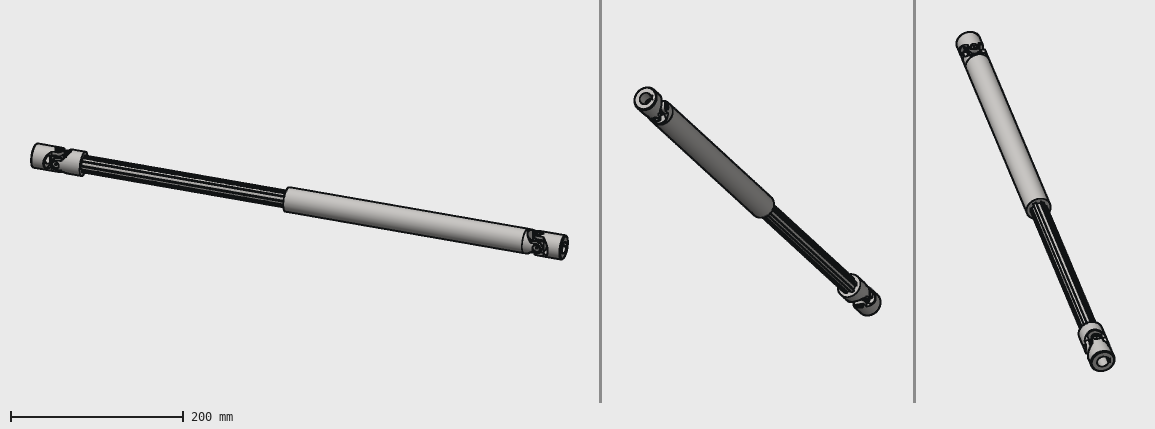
import cadquery as cq
import math


total_length = 650.0
joint_reach = 30.0
left_joint_x = joint_reach
right_joint_x = total_length - joint_reach

yoke_diameter = 28.8
yoke_radius = yoke_diameter / 2
rim_chamfer = 1.2
arm_width = 12.5
shoulder_offset = 14.8
slot_width = 16.4
slot_diameter = 28.0
cut_reach = yoke_radius + 1.0

bore_diameter = 14.0
bore_length = 20.0
key_width = 5.0
key_depth = 1.8

pin_diameter = 9.0
pin_span = 24.0
block_size = 14.0
centre_hole_diameter = 1.8
centre_hole_depth = 2.0

spline_start = left_joint_x + joint_reach
spline_end = 339.0
spline_tip_diameter = 20.0
spline_root_diameter = 16.0
tooth_width = 4.0
tooth_count = 6
tip_chamfer = 0.25

tube_diameter = 29.0
tube_start = 310.0
tube_end = 603.0


def x_rod(diameter, start, end):
    return cq.Workplane("YZ", origin=(start, 0, 0)).circle(diameter / 2).extrude(end - start)


def turn_quarter(body):
    return body.rotate((0, 0, 0), (1, 0, 0), 90)


def face_left(body):
    return body.rotate((0, 0, 0), (0, 0, 1), 180)


def at_x(body, x):
    return body.translate((x, 0, 0))


def arm_outline():
    """Plan of a yoke: full-width hub, 45 degree shoulders, then a narrow arm with a round tip."""
    half_arm = arm_width / 2
    shoulder_outer_x = -shoulder_offset - (cut_reach - yoke_radius)
    shoulder_inner_x = -shoulder_offset + (yoke_radius - half_arm)
    return (
        cq.Workplane("XY", origin=(0, 0, -cut_reach))
        .moveTo(-joint_reach, -cut_reach)
        .lineTo(shoulder_outer_x, -cut_reach)
        .lineTo(shoulder_inner_x, -half_arm)
        .lineTo(0, -half_arm)
        .threePointArc((half_arm, 0), (0, half_arm))
        .lineTo(shoulder_inner_x, half_arm)
        .lineTo(shoulder_outer_x, cut_reach)
        .lineTo(-joint_reach, cut_reach)
        .close()
        .extrude(2 * cut_reach)
    )


def make_yoke():
    """Yoke with its joint centre at the origin, hub toward -X and arms above and below."""
    blank = x_rod(yoke_diameter, -joint_reach, arm_width / 2)
    slot_round = cq.Workplane("XZ").circle(slot_diameter / 2).extrude(cut_reach, both=True)
    slot = slot_round.intersect(cq.Workplane("XY").box(slot_diameter, 2 * cut_reach, slot_width))
    pin_hole = cq.Workplane("XY").circle(pin_diameter / 2).extrude(cut_reach, both=True)
    return blank.intersect(arm_outline()).cut(slot).cut(pin_hole)


def make_end_yoke():
    """Yoke with a chamfered rim and a keyed hub bore; the keyway is on the -Y side."""
    bore = x_rod(bore_diameter, -joint_reach, -joint_reach + bore_length)
    key_reach = bore_diameter / 2 + key_depth
    keyway = (
        cq.Workplane("XY")
        .box(bore_length, key_reach, key_width, centered=(False, False, True))
        .translate((-joint_reach, -key_reach, 0))
    )
    return make_yoke().faces("<X").edges().chamfer(rim_chamfer).cut(bore).cut(keyway)


def make_cross():
    """Cube with pins along Y and Z, each pin end drilled with a small centre hole."""
    cross = cq.Workplane("XY").box(block_size, block_size, block_size)
    for plane in ("XY", "XZ"):
        cross = cross.union(cq.Workplane(plane).circle(pin_diameter / 2).extrude(pin_span / 2, both=True))
    for pin_end in (">Y", "<Y", ">Z", "<Z"):
        cross = cross.faces(pin_end).workplane(centerOption="CenterOfMass")
        cross = cross.hole(centre_hole_diameter, centre_hole_depth)
    return cross


def make_tooth(start, end):
    """Parallel-sided spline tooth toward +Y, with chamfered tip corners."""
    half_width = tooth_width / 2
    half_land = half_width - tip_chamfer
    tip_radius = spline_tip_diameter / 2
    land_edge = math.sqrt(tip_radius**2 - half_land**2)
    flank_end = land_edge - tip_chamfer
    return (
        cq.Workplane("YZ", origin=(start, 0, 0))
        .moveTo(0, -half_width)
        .lineTo(flank_end, -half_width)
        .lineTo(land_edge, -half_land)
        .threePointArc((tip_radius, 0), (land_edge, half_land))
        .lineTo(flank_end, half_width)
        .lineTo(0, half_width)
        .close()
        .extrude(end - start)
    )


def make_spline(start, end):
    spline = x_rod(spline_root_diameter, start, end)
    for i in range(tooth_count):
        angle = i * 360 / tooth_count
        spline = spline.union(make_tooth(start, end).rotate((0, 0, 0), (1, 0, 0), angle))
    return spline


def make_shaft():
    """Splined bar with the inner yoke of the left joint."""
    yoke = at_x(turn_quarter(face_left(make_yoke())), left_joint_x)
    return yoke.union(make_spline(spline_start, spline_end))


def make_tube():
    """Tube with the inner yoke of the right joint and a splined bore that holds the shaft."""
    yoke = at_x(turn_quarter(make_yoke()), right_joint_x)
    sleeve = x_rod(tube_diameter, tube_start, tube_end)
    return yoke.union(sleeve).cut(make_spline(tube_start, spline_end))


end_yokes = [
    at_x(make_end_yoke(), left_joint_x),
    at_x(face_left(make_end_yoke()), right_joint_x),
]
crosses = [at_x(make_cross(), x) for x in (left_joint_x, right_joint_x)]
shaft = make_shaft()
tube = make_tube()

bodies = [*end_yokes, *crosses, shaft, tube]
result = cq.Compound.makeCompound([body.solids().val() for body in bodies])